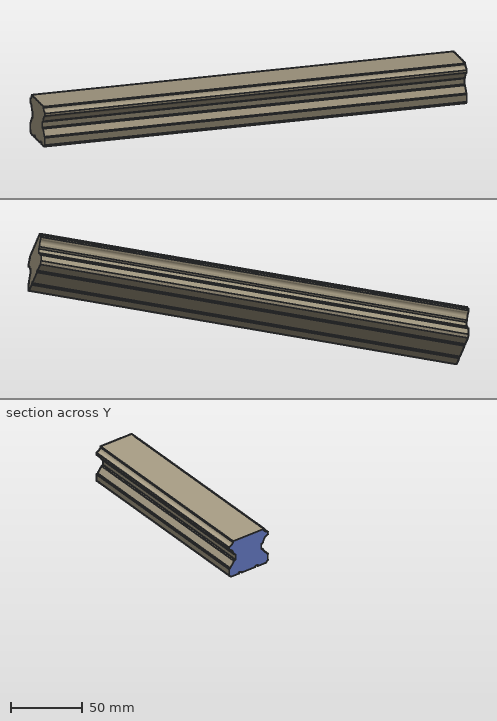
import cadquery as cq
import math

length = 310.0
width = 34.0
height = 29.0
half_width = width / 2

top_half_width = 13.5
top_side_height = 1.0
upper_track_start = (top_half_width, height - top_side_height)
upper_track_end = (16.0, 25.7)

lip_top_z = 25.0
lip_bottom_z = 23.2
lower_track_start = (15.8, 22.3)
lower_track_end = (13.5, 19.8)
track_sag = 0.45

waist_half_width = 11.5
waist_top_z = 17.0
waist_bottom_z = 13.0
relief_half_width = 12.7
relief_top_z = 18.0
relief_bottom_z = 12.5

shoulder_end = (16.0, 7.8)
foot_side_top_z = 7.0
foot_chamfer = 2.0

groove_center_x = 7.0
groove_width = 2.2
groove_depth = 1.0

hole_count = 4
hole_pitch = 80.0
cap_diameter = 14.0
cap_thickness = 3.0


def track_midpoint(start, end):
    """Middle of a concave ball track, pushed inward from the chord start -> end."""
    dx = end[0] - start[0]
    dz = end[1] - start[1]
    chord = math.hypot(dx, dz)
    mid_x = (start[0] + end[0]) / 2
    mid_z = (start[1] + end[1]) / 2
    return (mid_x + track_sag * dz / chord, mid_z - track_sag * dx / chord)


def half_rail():
    """Half of the rail on the +X side, extruded along Y and centred on the origin."""
    return (
        cq.Workplane("XZ")
        .moveTo(0, 0)
        .lineTo(0, height)
        .lineTo(top_half_width, height)
        .lineTo(*upper_track_start)
        .threePointArc(track_midpoint(upper_track_start, upper_track_end), upper_track_end)
        .lineTo(half_width, lip_top_z)
        .lineTo(half_width, lip_bottom_z)
        .lineTo(*lower_track_start)
        .threePointArc(track_midpoint(lower_track_start, lower_track_end), lower_track_end)
        .lineTo(relief_half_width, relief_top_z)
        .lineTo(waist_half_width, waist_top_z)
        .lineTo(waist_half_width, waist_bottom_z)
        .lineTo(relief_half_width, relief_bottom_z)
        .lineTo(*shoulder_end)
        .lineTo(half_width, foot_side_top_z)
        .lineTo(half_width, foot_chamfer)
        .lineTo(half_width - foot_chamfer, 0)
        .close()
        .extrude(length / 2, both=True)
    )


def underside_groove(center_x):
    """Full-length rectangular groove cut up into the flat bottom."""
    return cq.Workplane("XY").center(center_x, 0).rect(groove_width, length).extrude(groove_depth)


def hole_caps():
    """Row of discs filling the mounting holes, flush with the top face."""
    return (
        cq.Workplane("XY", origin=(0, 0, height))
        .rarray(3, hole_pitch, 1, hole_count)
        .circle(cap_diameter / 2)
        .extrude(-cap_thickness)
    )


half = half_rail()
rail = half.union(half.mirror("YZ"))
for side in (-1, 1):
    rail = rail.cut(underside_groove(side * groove_center_x))

caps = hole_caps()
result = rail.cut(caps).union(caps, clean=False)